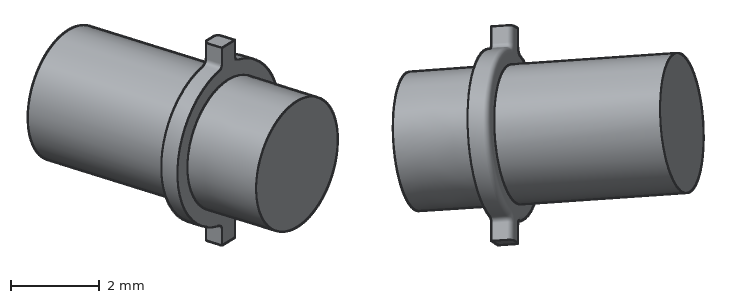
import cadquery as cq

length = 6.35
body_diameter = 3.175
rear_end_diameter = 3.16
flange_diameter = 3.95
flange_start = 3.94
flange_thickness = 0.51
tab_width = 0.51
tab_span = 4.95
root_fillet = 0.13
front_rounding = 0.12

flange_end = flange_start + flange_thickness


def flange_with_tabs():
    """Round collar with two opposite tabs, its front outline rounded."""
    plane = cq.Workplane("YZ", origin=(flange_start, 0, 0))
    disc = plane.circle(flange_diameter / 2).extrude(flange_thickness)
    tabs = plane.rect(tab_width, tab_span).extrude(flange_thickness)
    collar = disc.union(tabs)

    inner_corners = cq.selectors.BoxSelector(
        (flange_start, -tab_width, -flange_diameter / 2),
        (flange_end, tab_width, flange_diameter / 2),
    )
    collar = collar.edges("|X").edges(inner_corners).fillet(root_fillet)

    return collar.faces("<X").edges("not |Y").fillet(front_rounding)


def body():
    """Straight cylinder up to the back of the flange, then a slight taper."""
    body_radius = body_diameter / 2
    profile = (
        cq.Workplane("XZ")
        .lineTo(0, body_radius)
        .lineTo(flange_end, body_radius)
        .lineTo(length, rear_end_diameter / 2)
        .lineTo(length, 0)
        .close()
    )
    return profile.revolve(360, (0, 0, 0), (1, 0, 0))


result = body().union(flange_with_tabs())